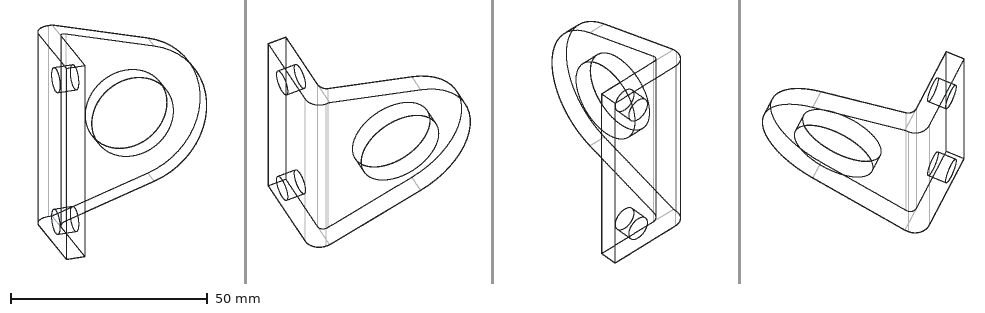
import cadquery as cq
import math

width = 25.0
height = 54.0
thickness = 5.0

outer_bend_radius = 4.0
inner_bend_radius = 2.0

eye_radius = 20.0
eye_y = 24.95
eye_hole_diameter = 22.0
depth = eye_y + eye_radius

mount_hole_diameter = 6.5
mount_hole_x = 17.0
mount_hole_spacing = 40.0


def angle_section():
    """L-section with a rounded bend, extruded over the full height."""
    section = (
        cq.Workplane("XY")
        .polyline([
            (0, 0),
            (width, 0),
            (width, thickness),
            (thickness, thickness),
            (thickness, depth),
            (0, depth),
        ])
        .close()
        .extrude(height / 2, both=True)
    )
    section = section.edges(cq.selectors.NearestToPointSelector((0, 0, 0))).fillet(outer_bend_radius)
    inner_corner = cq.selectors.NearestToPointSelector((thickness, thickness, 0))
    return section.edges(inner_corner).fillet(inner_bend_radius)


def side_outline():
    """Solid whose YZ outline tapers from the flange tangentially into the eye."""
    corner_y = thickness - eye_y
    corner_z = height / 2
    corner_angle = math.atan2(corner_z, corner_y)
    tangent_angle = corner_angle - math.acos(eye_radius / math.hypot(corner_y, corner_z))
    tangent_y = eye_y + eye_radius * math.cos(tangent_angle)
    tangent_z = eye_radius * math.sin(tangent_angle)
    return (
        cq.Workplane("YZ")
        .moveTo(0, -height / 2)
        .lineTo(thickness, -height / 2)
        .lineTo(tangent_y, -tangent_z)
        .threePointArc((depth, 0), (tangent_y, tangent_z))
        .lineTo(thickness, height / 2)
        .lineTo(0, height / 2)
        .close()
        .extrude(width)
    )


eye_hole = cq.Workplane("YZ").center(eye_y, 0).circle(eye_hole_diameter / 2).extrude(thickness)

mount_holes = (
    cq.Workplane("XZ")
    .pushPoints([(mount_hole_x, side * mount_hole_spacing / 2) for side in (-1, 1)])
    .circle(mount_hole_diameter / 2)
    .extrude(-thickness)
)

result = angle_section().intersect(side_outline()).cut(eye_hole).cut(mount_holes)